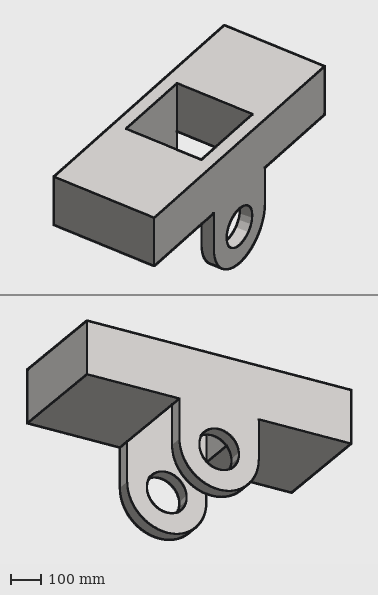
import cadquery as cq

block_width = 400.0
block_length = 1000.0
block_height = 200.0

lug_thickness = 50.0
lug_width = 300.0
lug_radius = lug_width / 2
lug_drop = 300.0
lug_hole_diameter = 150.0
lug_axis_z = -(lug_drop - lug_radius)

window_width = block_width - 2 * lug_thickness
window_length = lug_width


def make_block():
    """Rectangular block with the window cut through it vertically."""
    block = cq.Workplane("XY").box(
        block_width, block_length, block_height, centered=(True, True, False)
    )
    window = cq.Workplane("XY").rect(window_width, window_length).extrude(block_height)
    return block.cut(window)


def make_lug(x_start):
    """Round-ended lug with a cross hole, occupying x_start to x_start + lug_thickness.

    The lug reaches the block's top face so that it merges with the window wall.
    """
    side_plane = cq.Workplane("YZ", origin=(x_start, 0, 0))
    plate = (
        side_plane.moveTo(-lug_radius, block_height)
        .lineTo(-lug_radius, lug_axis_z)
        .threePointArc((0, -lug_drop), (lug_radius, lug_axis_z))
        .lineTo(lug_radius, block_height)
        .close()
        .extrude(lug_thickness)
    )
    hole = (
        side_plane.center(0, lug_axis_z)
        .circle(lug_hole_diameter / 2)
        .extrude(lug_thickness)
    )
    return plate.cut(hole)


result = make_block()
for lug_start in (-block_width / 2, block_width / 2 - lug_thickness):
    result = result.union(make_lug(lug_start))
result = result.clean()